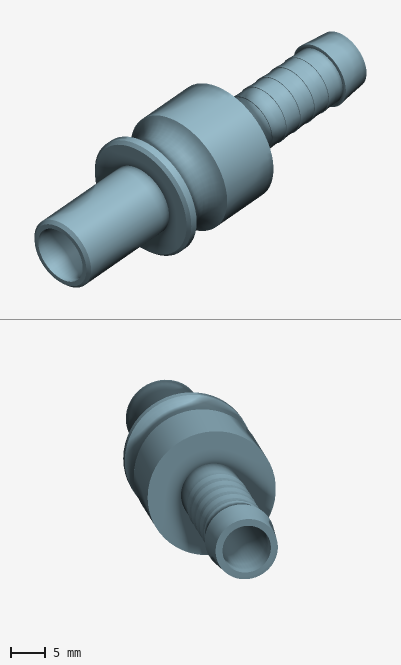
import cadquery as cq

overall_length = 60.0
edge_chamfer = 0.5

spigot_radius = 5.5
spigot_length = 17.05

body_diameter = 18.8
body_radius = body_diameter / 2
body_end = 35.0
groove_start = 18.65
groove_end = 25.15
groove_waist_radius = 7.4

tail_radius = 4.5
barb_length = 5.0
barb_tip_radius = 4.55
barb_radius = 5.1
ridge_radius = 4.6
ridge_length = 1.5
ridge_pitch = 3.0
ridge_count = 5
first_ridge_offset = 6.55

tail_bore_radius = 3.55
spigot_bore_radius = 4.3
spigot_bore_depth = spigot_length


def frustum(start, start_radius, end, end_radius):
    """Solid of revolution about Y with a straight flank."""
    return (
        cq.Workplane("XY")
        .polyline([(0, start), (start_radius, start), (end_radius, end), (0, end)])
        .close()
        .revolve(360, (0, 0, 0), (0, 1, 0))
    )


def cylinder(start, end, radius):
    return frustum(start, radius, end, radius)


def make_spigot():
    return cylinder(0, spigot_length, spigot_radius).faces("<Y").chamfer(edge_chamfer)


def make_body():
    groove_middle = (groove_start + groove_end) / 2
    return (
        cq.Workplane("XY")
        .moveTo(0, spigot_length)
        .lineTo(body_radius - edge_chamfer, spigot_length)
        .lineTo(body_radius, spigot_length + edge_chamfer)
        .lineTo(body_radius, groove_start)
        .threePointArc((groove_waist_radius, groove_middle), (body_radius, groove_end))
        .lineTo(body_radius, body_end)
        .lineTo(0, body_end)
        .close()
        .revolve(360, (0, 0, 0), (0, 1, 0))
    )


def make_hose_tail():
    tail = cylinder(body_end, overall_length - barb_length, tail_radius)
    barb = frustum(overall_length - barb_length, barb_radius, overall_length, barb_tip_radius)
    tail = tail.union(barb)
    for index in range(ridge_count):
        front = overall_length - first_ridge_offset - index * ridge_pitch
        ridge = frustum(front - ridge_length, ridge_radius, front, tail_radius)
        tail = tail.union(ridge)
    return tail


def make_bore():
    tail_bore = cylinder(0, overall_length, tail_bore_radius)
    return tail_bore.union(cylinder(0, spigot_bore_depth, spigot_bore_radius))


result = make_spigot().union(make_body()).union(make_hose_tail()).cut(make_bore())